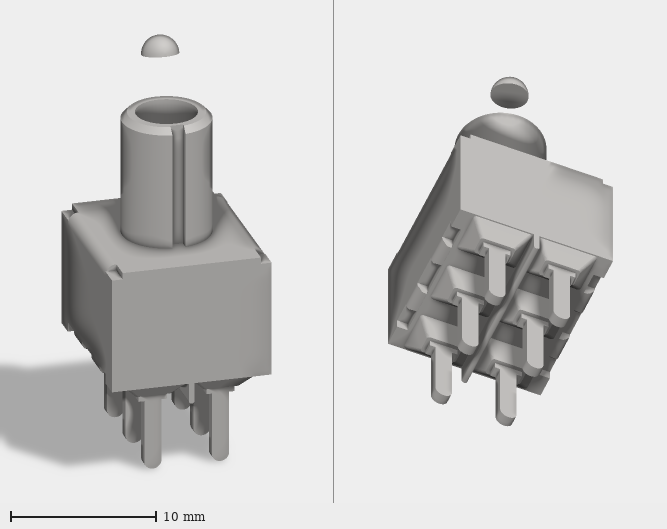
import cadquery as cq
import math

case_x = 12.7
case_y = 11.45
case_bottom = 6.62
case_top = 15.47
ear_top = case_top - 0.47

frame_x = 9.47
frame_thickness = 0.75
frame_bottom = 7.32
plate_y = case_y - 2 * frame_thickness

tab_x = 1.97
tab_offset_x = 2.18
tab_bottom = 6.65
tab_radius = 0.6
tab_chamfer = 0.15

bushing_diameter = 6.35
bushing_top = 24.38
bushing_chamfer = 0.45
bore_diameter = 4.35
keyway_width = 0.95
keyway_floor_x = 2.47

lever_tilt = 12.3
ball_diameter = 4.24
ball_z = 20.9
socket_diameter = 2.35
cap_radius = 1.32
cap_top = 29.4
cap_rise = cap_top - cap_radius - ball_z
cap_distance = cap_rise / math.cos(math.radians(lever_tilt))

barrier_y = 0.4
barrier_bottom = 5.12
barrier_radius = 0.19

pin_x = 0.8
pin_y = 1.24
pin_tip_radius = 0.49 * pin_y
pin_pitch_x = 4.68
pin_pitch_y = 4.85
pin_columns = 3
pin_rows = 2
shoulder_y = 2.03
shoulder_bottom = 5.12
seal_bottom = 5.62
seal_margin = 0.3
seal_flare = 0.88


def box(size_x, size_y, bottom, top):
    return (
        cq.Workplane("XY", origin=(0, 0, bottom))
        .rect(size_x, size_y)
        .extrude(top - bottom)
    )


def make_case():
    """Block with a slot in its front and back for the frame sides, and a raised top plate."""
    block = box(case_x, case_y, case_bottom, ear_top)
    slots = box(frame_x, case_y, case_bottom, ear_top).cut(
        box(frame_x, plate_y, case_bottom, ear_top)
    )
    top_plate = box(case_x, plate_y, ear_top, case_top)
    return block.cut(slots).union(top_plate, clean=False)


def make_frame_sides():
    """Front and back sides of the frame, rounded into the top plate, with tabs at the bottom."""
    sides = (
        box(frame_x, case_y, frame_bottom, case_top)
        .edges("|X and >Z")
        .fillet(frame_thickness)
    )
    tab = (
        box(tab_x, case_y, tab_bottom, frame_bottom)
        .edges("|Y and <Z")
        .chamfer(tab_chamfer)
        .edges("|X and <Z")
        .fillet(tab_radius)
    )
    for x in (-tab_offset_x, tab_offset_x):
        sides = sides.union(tab.translate((x, 0, 0)))
    return sides.cut(box(frame_x, plate_y, case_bottom, case_top))


def tilt_lever(shape):
    """Lean a shape built about the origin along +Z and move it to the ball centre."""
    return shape.rotate((0, 0, 0), (0, 1, 0), -lever_tilt).translate((0, 0, ball_z))


def make_bore():
    """Bore whose floor lies at the ball centre, so the upper half of the ball stands in it."""
    return (
        cq.Workplane("XY", origin=(0, 0, ball_z))
        .circle(bore_diameter / 2)
        .extrude(bushing_top - ball_z)
    )


def make_ball():
    return tilt_lever(cq.Workplane("XY").sphere(ball_diameter / 2))


def make_socket():
    """Tilted blind hole into the ball, with a spherical end."""
    hole = cq.Workplane("XY").circle(socket_diameter / 2).extrude(ball_diameter, both=True)
    return tilt_lever(hole).intersect(make_ball())


def make_bushing():
    bushing = (
        cq.Workplane("XY", origin=(0, 0, case_top))
        .circle(bushing_diameter / 2)
        .extrude(bushing_top - case_top)
        .faces(">Z")
        .chamfer(bushing_chamfer)
    )
    keyway = box(bushing_diameter, keyway_width, case_top, bushing_top).translate(
        (keyway_floor_x + bushing_diameter / 2, 0, 0)
    )
    bored = bushing.cut(keyway).cut(make_bore())
    return bored.union(make_ball()).cut(make_socket())


def make_barrier():
    return (
        box(case_x, barrier_y, barrier_bottom, case_bottom)
        .edges("|X and <Z")
        .fillet(barrier_radius)
    )


def make_terminal():
    pin = (
        box(pin_x, pin_y, 0, seal_bottom)
        .edges("|X and <Z")
        .fillet(pin_tip_radius)
    )
    shoulder = box(pin_x, shoulder_y, shoulder_bottom, seal_bottom)
    lower_x = pin_x + 2 * seal_margin
    lower_y = shoulder_y + 2 * seal_margin
    seal = (
        cq.Workplane("XY", origin=(0, 0, seal_bottom))
        .rect(lower_x, lower_y)
        .workplane(offset=case_bottom - seal_bottom)
        .rect(lower_x + 2 * seal_flare, lower_y + 2 * seal_flare)
        .loft()
        .edges("not (<Z or >Z)")
        .fillet(seal_margin)
    )
    return pin.union(shoulder).union(seal)


def make_housing():
    housing = make_case()
    for part in (make_frame_sides(), make_bushing(), make_barrier()):
        housing = housing.union(part, clean=False)
    terminal = make_terminal()
    for column in range(pin_columns):
        for row in range(pin_rows):
            x = (column - (pin_columns - 1) / 2) * pin_pitch_x
            y = (row - (pin_rows - 1) / 2) * pin_pitch_y
            housing = housing.union(terminal.translate((x, y, 0)), clean=False)
    return housing


def make_cap():
    """Half ball at the lever tip, flat side down."""
    cap = (
        cq.Workplane("XY")
        .sphere(cap_radius)
        .intersect(box(2 * cap_radius, 2 * cap_radius, 0, cap_radius))
        .translate((0, 0, cap_distance))
    )
    return tilt_lever(cap)


housing = make_housing()
lever_cap = make_cap()

result = cq.Compound.makeCompound([housing.val(), lever_cap.val()])